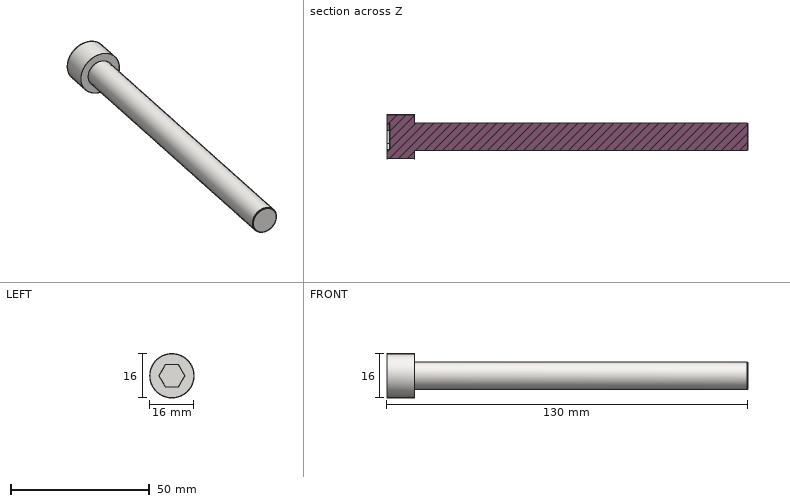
import cadquery as cq
import math

total_length = 130.0
head_diameter = 16.0
shank_diameter = 10.0
head_length = shank_diameter
socket_across_flats = 8.0
socket_depth = 1.0
tip_chamfer = 0.3

socket_across_corners = socket_across_flats / math.cos(math.radians(30))
head_face_x = -total_length / 2

head_plane = cq.Plane(origin=(head_face_x, 0, 0), xDir=(0, 1, 0), normal=(1, 0, 0))


def make_head():
    return cq.Workplane(head_plane).circle(head_diameter / 2).extrude(head_length)


def make_shank():
    shank = cq.Workplane(head_plane).circle(shank_diameter / 2).extrude(total_length)
    return shank.faces(">X").chamfer(tip_chamfer)


def make_hex_socket():
    return cq.Workplane(head_plane).polygon(6, socket_across_corners).extrude(socket_depth)


result = make_head().union(make_shank()).cut(make_hex_socket())